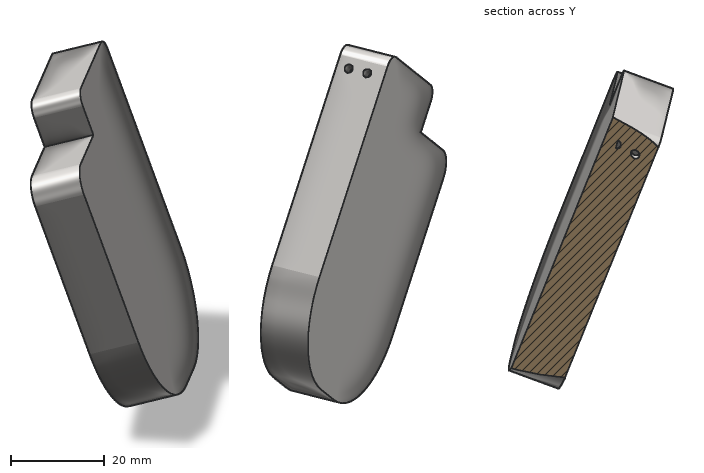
import cadquery as cq

width = 49.3
length = 70.85
thickness = 11.25
tab_width = 29.3
shoulder_drop = 10.0
tab_radius = 3.0
shoulder_radius = 5.0
tab_base_radius = 20.0
shoulder_base_radius = 20.0

hole_diameter = 1.85
hole_depth = 3.55
hole_from_top = 5.45
hole_spacing = 4.4
hole_pair_offset = 0.6

roll = 4.4
tilt = 20.0
yaw = 19.5

half_width = width / 2
half_length = length / 2


def corner_cutter(x, y, radius, x_side, y_side):
    """Material between a sharp corner at (x, y) and its rounding arc."""
    centre_x = x - x_side * radius
    centre_y = y - y_side * radius
    square = cq.Workplane("XY").rect(radius, radius).extrude(thickness)
    square = square.translate((x - x_side * radius / 2, y - y_side * radius / 2, 0))
    disc = cq.Workplane("XY").center(centre_x, centre_y).circle(radius).extrude(thickness)
    return square.cut(disc)


def make_plate():
    """Stepped plate with every outer corner rounded; the inner step corner is sharp."""
    step_x = half_width - tab_width
    shoulder_y = half_length - shoulder_drop
    plate = cq.Workplane("XY").rect(width, length).extrude(thickness)
    notch = (
        cq.Workplane("XY")
        .moveTo(-half_width, shoulder_y)
        .lineTo(step_x, shoulder_y)
        .lineTo(step_x, half_length)
        .lineTo(-half_width, half_length)
        .close()
        .extrude(thickness)
    )
    plate = plate.cut(notch)
    corners = [
        (half_width, half_length, tab_radius, 1, 1),
        (step_x, half_length, tab_radius, -1, 1),
        (-half_width, shoulder_y, shoulder_radius, -1, 1),
        (-half_width, -half_length, shoulder_base_radius, -1, -1),
        (half_width, -half_length, tab_base_radius, 1, -1),
    ]
    for corner in corners:
        plate = plate.cut(corner_cutter(*corner))
    return plate


def make_side_holes():
    """Two blind holes side by side across the thickness, entering from local +X."""
    middle = thickness / 2 + hole_pair_offset
    hole_y = half_length - hole_from_top
    side_wall = cq.Plane(origin=(half_width, hole_y, middle), xDir=(0, 0, 1), normal=(1, 0, 0))
    return (
        cq.Workplane(side_wall)
        .pushPoints([(-hole_spacing / 2, 0), (hole_spacing / 2, 0)])
        .circle(hole_diameter / 2)
        .extrude(-hole_depth)
    )


def place(flat_part):
    """Stand the plate up facing X, then roll, tilt and turn it about the origin."""
    upright = cq.Plane(origin=(0, 0, 0), xDir=(0, 1, 0), normal=(1, 0, 0))
    standing = cq.Workplane(flat_part.val().moved(cq.Location(upright)))
    origin = (0, 0, 0)
    return (
        standing.rotate(origin, (1, 0, 0), -roll)
        .rotate(origin, (0, 1, 0), -tilt)
        .rotate(origin, (0, 0, 1), yaw)
    )


def centre_on_origin(part):
    """Move the middle of the bounding box to the origin."""
    return part.translate(part.val().BoundingBox().center * -1)


result = centre_on_origin(place(make_plate().cut(make_side_holes())))